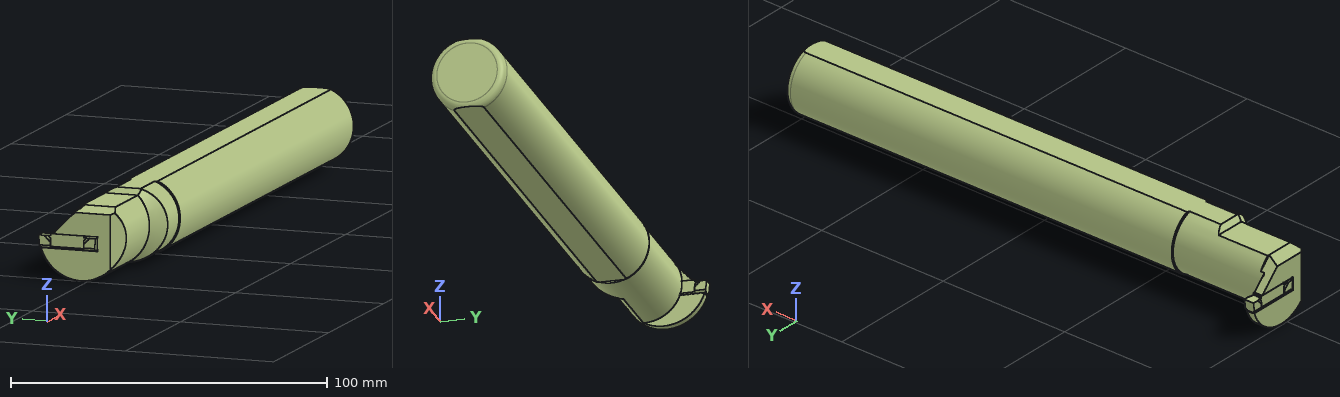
import cadquery as cq
import math


bar_length = 200.0
shank_radius = 12.5
shank_flat_height = 11.5
rear_fillet = 2.5

neck_length = 40.0
neck_radius = 12.2
neck_step_length = 0.4

head_radius = 14.0
head_offset = 6.3
head_length = 25.3
head_flat_height = 9.7
front_bevel_end = 5.0
front_bevel_drop = 1.7
side_bevel_end = 4.3

slope_sum = 16.4
slope_end = 5.0

tip_y = 20.4
insert_length = 19.3
insert_end_width = 3.8
insert_end_length = 4.0
waist_recess = 0.3
waist_top = 0.6
insert_bottom = -4.1
bottom_bevel = 0.6
end_relief = 0.4
corner_bevel_leg = 2.0
corner_bevel_run = 0.8
slot_clearance = 0.5

front_face = waist_recess
blade_back = insert_end_width - waist_recess
insert_inner_y = tip_y - insert_length
slot_inner_y = insert_inner_y - slot_clearance
slot_height = waist_top - insert_bottom
margin = 10.0


def box(x_start, x_end, y_start, y_end, z_start, z_end):
    size = (x_end - x_start, y_end - y_start, z_end - z_start)
    return cq.Workplane("XY").box(*size, centered=False).translate((x_start, y_start, z_start))


def turned(profile, axis_y):
    """Revolve an (x, radius) profile about the line Y = axis_y, Z = 0."""
    outline = cq.Workplane("XY").polyline(profile).close()
    return outline.revolve(360, (0, 0, 0), (1, 0, 0)).translate((0, axis_y, 0))


def make_shank():
    shank = cq.Workplane("YZ", origin=(neck_length, 0, 0)).circle(shank_radius)
    shank = shank.extrude(bar_length - neck_length)
    shank = shank.faces(">X").edges().fillet(rear_fillet)
    shank = shank.faces("<X").edges().chamfer(neck_step_length, shank_radius - neck_radius)
    flats = box(
        neck_length, bar_length,
        -shank_radius, shank_radius,
        -shank_flat_height, shank_flat_height,
    )
    return shank.intersect(flats)


def make_head_envelope():
    """Head cylinder that flares at 45 degrees until it clears the neck."""
    flare = neck_length - head_length
    return turned(
        [
            (0, 0),
            (0, head_radius),
            (head_length, head_radius),
            (neck_length, head_radius + flare),
            (neck_length, 0),
        ],
        head_offset,
    )


def make_top_envelope():
    """Side outline of the top: front bevel, head flat, 45 degree step, shank flat."""
    step_height = shank_flat_height - head_flat_height
    outline = [
        (front_face, -head_radius - margin),
        (front_face, head_flat_height - front_bevel_drop),
        (front_bevel_end, head_flat_height),
        (head_length, head_flat_height),
        (head_length + step_height, shank_flat_height),
        (neck_length, shank_flat_height),
        (neck_length, -head_radius - margin),
    ]
    half_width = head_radius + head_offset + margin
    return cq.Workplane("XZ").polyline(outline).close().extrude(half_width, both=True)


def make_side_bevel():
    """45 degree corner to remove where the front face meets the -Y side."""
    corner_y = head_offset - head_radius
    outline = [
        (-margin, corner_y + side_bevel_end + margin),
        (-margin, corner_y - margin),
        (side_bevel_end + margin, corner_y - margin),
    ]
    return cq.Workplane("XY").polyline(outline).close().extrude(head_radius + margin, both=True)


def make_slope_cut():
    """Corner to remove above the 45 degree slope of the upper jaw."""
    low_y = slope_sum - waist_top
    far_y = tip_y + margin
    top_z = head_radius + margin
    outline = [
        (slope_sum - top_z, top_z),
        (low_y, waist_top),
        (far_y, waist_top),
        (far_y, top_z),
    ]
    return cq.Workplane("YZ").polyline(outline).close().extrude(slope_end)


def make_insert_slot():
    """Through slot across the blade, deeper at the inner end to take the wide cutting end."""
    wide_y = insert_inner_y + insert_end_length
    slot = box(0, blade_back, slot_inner_y, tip_y + margin, insert_bottom, waist_top)
    inner_end = box(0, insert_end_width, slot_inner_y, wide_y, insert_bottom, waist_top)
    return slot.union(inner_end)


def make_holder():
    neck = cq.Workplane("YZ").circle(neck_radius).extrude(neck_length)
    blade = cq.Workplane("YZ", origin=(0, head_offset, 0)).circle(head_radius).extrude(blade_back)
    front = neck.union(blade).intersect(make_head_envelope()).intersect(make_top_envelope())
    front = front.cut(make_side_bevel()).cut(make_slope_cut()).cut(make_insert_slot())
    return front.union(make_shank())


def make_corner_bevels():
    """Sloped cuts blending the sides of each cutting end into the narrower waist."""
    waist_outer_y = tip_y - insert_end_length
    outline = [
        (waist_outer_y - margin, margin),
        (waist_outer_y - margin, -corner_bevel_leg - margin),
        (waist_outer_y + corner_bevel_leg + margin, margin),
    ]
    taper = math.degrees(math.atan(corner_bevel_run / waist_recess))
    front_cut = cq.Workplane("YZ").polyline(outline).close().extrude(waist_recess, taper=taper)
    front_cut = front_cut.intersect(box(
        0, waist_recess, waist_outer_y, tip_y, insert_bottom, waist_top,
    ))
    outer_cuts = front_cut.union(front_cut.mirror("YZ", (insert_end_width / 2, 0, 0)))
    inner_cuts = outer_cuts.mirror("XZ", (0, tip_y - insert_length / 2, 0))
    return outer_cuts.union(inner_cuts)


def make_insert():
    """Bar along Y with relieved cutting ends, a raised waist and bevelled lower edges."""
    waist_inner_y = insert_inner_y + insert_end_length
    waist_outer_y = tip_y - insert_end_length
    side = [
        (insert_inner_y, 0),
        (waist_inner_y, 0),
        (waist_inner_y, waist_top),
        (waist_outer_y, waist_top),
        (waist_outer_y, 0),
        (tip_y, 0),
        (tip_y - end_relief, insert_bottom),
        (insert_inner_y + end_relief, insert_bottom),
    ]
    insert = cq.Workplane("YZ").polyline(side).close().extrude(insert_end_width)
    for side_x in (0, blade_back):
        insert = insert.cut(box(
            side_x, side_x + waist_recess,
            waist_inner_y, waist_outer_y,
            insert_bottom, waist_top,
        ))
    middle = insert_end_width / 2
    half_base = middle - waist_recess - bottom_bevel
    half_top = half_base + slot_height
    keel = [
        (middle - half_base, insert_bottom),
        (middle + half_base, insert_bottom),
        (middle + half_top, waist_top),
        (middle - half_top, waist_top),
    ]
    keel_envelope = cq.Workplane("XZ").polyline(keel).close().extrude(-tip_y)
    return insert.intersect(keel_envelope).cut(make_corner_bevels())


holder = make_holder()
insert = make_insert()
result = cq.Compound.makeCompound([holder.solids().val(), insert.solids().val()])